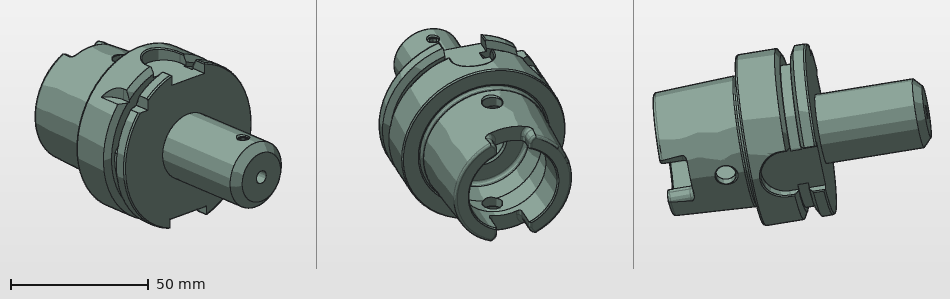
import cadquery as cq
import math


TOTAL_LENGTH = 97.1
TAPER_LENGTH = 32.0
FLANGE_LENGTH = 26.0
SHANK_END = TOTAL_LENGTH - TAPER_LENGTH

TAPER_DIAMETER = 48.2
TAPER_SLOPE = 0.05
TAPER_END = -2.1
TAPER_FRONT_ROUND = 1.0
RELIEF_DIAMETER = 47.6
RELIEF_CHAMFER = 0.7
RELIEF_ROUND = 1.0
RELIEF_DEPTH = 0.3
RELIEF_RIM_DIAMETER = 50.7

BORE_DIAMETER = 34.0
BORE_CHAMFER = 0.5
BORE_LENGTH = 12.7
CAVITY_DIAMETER = 40.0
CLAMPING_CONE_ANGLE = 60.0
CAVITY_END = 25.7
CAVITY_END_ANGLE = 30.0
BORE_DEPTH = 33.0
BORE_FLOOR_DIAMETER = 31.4
TUBE_HOLE_DIAMETER = 16.9
TUBE_HOLE_CHAMFER = 0.8
TUBE_HOLE_DEPTH = 11.6
COOLANT_DIAMETER = 4.9
COOLANT_CONE_DIAMETER = 8.4
COOLANT_CONE_LENGTH = 1.1

DRIVE_HALF_WIDTH = 6.2
DRIVE_FLARE_START = 18.0
DRIVE_FLARE_RADIUS = 3.0
DRIVE_FLOOR_ROUND = 1.5
DRIVE_DEPTH_TOP = 5.9
DRIVE_DEPTH_BOTTOM = 9.9

RADIAL_HOLE_DIAMETER = 7.5
RADIAL_HOLE_RIM_DIAMETER = 8.4
RADIAL_HOLE_X = -9.1

FLANGE_DIAMETER = 63.0
FLANGE_CHAMFER_LENGTH = 0.7
FLANGE_CHAMFER_DEPTH = 0.4
GROOVE_CENTRE_X = 18.1
GROOVE_TOP_WIDTH = 6.9
GROOVE_WIDTH = 3.9
GROOVE_FLANK_DEPTH = 2.6
GROOVE_DIAMETER = 54.65
GROOVE_FLAT_DISTANCE = 21.6
GROOVE_FLAT_ANGLE = 137.8

KEYWAY_CENTRE_X = 12.9
KEYWAY_TOP_WIDTH = 16.0
KEYWAY_BOTTOM_WIDTH = 18.0
KEYWAY_FLOOR = 26.4
KEYWAY_CHAMFER = 0.5
CORNER_POCKET_OFFSET = 20.0

SHANK_DIAMETER = 25.4
SHANK_CHAMFER_LENGTH = 3.0
SHANK_END_DIAMETER = 19.0

SCREW_DIAMETER = 4.0
SCREW_X = 55.2
SCREW_RECESS = 0.8
SCREW_LENGTH = 5.8
SCREW_SINK_DIAMETER = 5.1
SOCKET_ACROSS_FLATS = 2.5
SOCKET_DEPTH = 1.9
SOCKET_TURN = 45.0

CLEARANCE = 4.9
TOLERANCE = 0.1

TAPER_RADIUS = TAPER_DIAMETER / 2
FLANGE_RADIUS = FLANGE_DIAMETER / 2
SHANK_RADIUS = SHANK_DIAMETER / 2
BORE_RADIUS = BORE_DIAMETER / 2
SCREW_TOP = SHANK_RADIUS - SCREW_RECESS
SCREW_BOTTOM = SCREW_TOP - SCREW_LENGTH


def taper_radius(x):
    return TAPER_RADIUS - TAPER_SLOPE * (TAPER_END - x)


def ring(outline):
    """Solid of revolution about X from a closed (x, radius) outline."""
    return cq.Workplane("XY").polyline(outline).close().revolve(360, (0, 0, 0), (1, 0, 0))


def upright_ring(outline, x):
    """Solid of revolution about the vertical line at x from a closed (radius, z) outline."""
    turned = cq.Workplane("YZ").polyline(outline).close().revolve(360, (0, 0, 0), (0, 1, 0))
    return turned.translate((x, 0, 0))


def blank():
    """Taper, plain flange and shank without holes."""
    round_end_x = TAPER_FRONT_ROUND - TAPER_LENGTH
    round_shift = TAPER_FRONT_ROUND * math.sqrt(0.5)
    front_radius = taper_radius(round_end_x)
    relief_radius = RELIEF_DIAMETER / 2
    arc_start = RELIEF_DEPTH - RELIEF_ROUND
    arc_end_radius = relief_radius + RELIEF_ROUND
    arc_shift = RELIEF_ROUND * math.sqrt(0.5)
    return (
        cq.Workplane("XY")
        .moveTo(-TAPER_LENGTH, 0)
        .lineTo(-TAPER_LENGTH, front_radius - TAPER_FRONT_ROUND)
        .threePointArc(
            (round_end_x - round_shift, front_radius - TAPER_FRONT_ROUND + round_shift),
            (round_end_x, front_radius),
        )
        .lineTo(TAPER_END, TAPER_RADIUS)
        .lineTo(TAPER_END + RELIEF_CHAMFER, relief_radius)
        .lineTo(arc_start, relief_radius)
        .threePointArc(
            (arc_start + arc_shift, arc_end_radius - arc_shift),
            (RELIEF_DEPTH, arc_end_radius),
        )
        .lineTo(0, RELIEF_RIM_DIAMETER / 2)
        .lineTo(0, FLANGE_RADIUS)
        .lineTo(FLANGE_LENGTH, FLANGE_RADIUS)
        .lineTo(FLANGE_LENGTH, SHANK_RADIUS)
        .lineTo(SHANK_END - SHANK_CHAMFER_LENGTH, SHANK_RADIUS)
        .lineTo(SHANK_END, SHANK_END_DIAMETER / 2)
        .lineTo(SHANK_END, 0)
        .close()
        .revolve(360, (0, 0, 0), (1, 0, 0))
    )


def inner_bore():
    """Bore with a wider clamping cavity behind its mouth and a rounded floor corner."""
    front = -TAPER_LENGTH
    cavity_radius = CAVITY_DIAMETER / 2
    undercut = cavity_radius - BORE_RADIUS
    cone_start = front + BORE_LENGTH
    cone_end = cone_start + undercut / math.tan(math.radians(CLAMPING_CONE_ANGLE))
    cavity_end = front + CAVITY_END
    narrow_end = cavity_end + undercut / math.tan(math.radians(CAVITY_END_ANGLE))
    floor_x = front + BORE_DEPTH
    floor_radius = BORE_FLOOR_DIAMETER / 2
    corner = BORE_RADIUS - floor_radius
    corner_shift = corner * math.sqrt(0.5)
    return (
        cq.Workplane("XY")
        .moveTo(front - CLEARANCE, 0)
        .lineTo(front - CLEARANCE, BORE_RADIUS)
        .lineTo(cone_start, BORE_RADIUS)
        .lineTo(cone_end, cavity_radius)
        .lineTo(cavity_end, cavity_radius)
        .lineTo(narrow_end, BORE_RADIUS)
        .lineTo(floor_x - corner, BORE_RADIUS)
        .threePointArc(
            (floor_x - corner + corner_shift, floor_radius + corner_shift),
            (floor_x, floor_radius),
        )
        .lineTo(floor_x, 0)
        .close()
        .revolve(360, (0, 0, 0), (1, 0, 0))
    )


def bore_chamfer():
    front = -TAPER_LENGTH
    return ring([
        (front, 0),
        (front, BORE_RADIUS + BORE_CHAMFER),
        (front + BORE_CHAMFER, BORE_RADIUS),
        (front + BORE_CHAMFER, 0),
    ])


def axial_holes():
    """Coolant tube hole in the cavity floor and the coolant hole through the shank."""
    start = BORE_DEPTH - TAPER_LENGTH
    tube_radius = TUBE_HOLE_DIAMETER / 2
    tube_end = start + TUBE_HOLE_DEPTH
    cone_radius = COOLANT_CONE_DIAMETER / 2
    coolant_radius = COOLANT_DIAMETER / 2
    return ring([
        (start, 0),
        (start, tube_radius + TUBE_HOLE_CHAMFER),
        (start + TUBE_HOLE_CHAMFER, tube_radius),
        (tube_end, tube_radius),
        (tube_end, cone_radius),
        (tube_end + COOLANT_CONE_LENGTH, coolant_radius),
        (SHANK_END + CLEARANCE, coolant_radius),
        (SHANK_END + CLEARANCE, 0),
    ])


def drive_slot(depth):
    """Cutter for the upper drive slot: flared walls, a rounded floor and a rounded mouth."""
    flare_shift = DRIVE_FLARE_RADIUS * (1 - math.sqrt(0.5))
    flare_middle_z = DRIVE_FLARE_START + DRIVE_FLARE_RADIUS * math.sqrt(0.5)
    flare_end_y = DRIVE_HALF_WIDTH + DRIVE_FLARE_RADIUS
    flare_end_z = DRIVE_FLARE_START + DRIVE_FLARE_RADIUS
    outer_y = flare_end_y + CLEARANCE
    outer_z = TAPER_RADIUS + CLEARANCE
    inner_z = BORE_RADIUS - CLEARANCE
    front = -TAPER_LENGTH
    channel = (
        cq.Workplane("YZ", origin=(front, 0, 0))
        .moveTo(0, inner_z)
        .lineTo(DRIVE_HALF_WIDTH, inner_z)
        .lineTo(DRIVE_HALF_WIDTH, DRIVE_FLARE_START)
        .threePointArc((DRIVE_HALF_WIDTH + flare_shift, flare_middle_z), (flare_end_y, flare_end_z))
        .lineTo(outer_y, flare_end_z)
        .lineTo(outer_y, outer_z)
        .lineTo(0, outer_z)
        .mirrorY()
        .extrude(depth)
    )
    plate = (
        cq.Workplane("YZ", origin=(front, 0, (inner_z + outer_z) / 2))
        .rect(2 * (outer_y + CLEARANCE), outer_z - inner_z)
        .extrude(-CLEARANCE)
    )
    cutter = channel.union(plate)

    def wall_edges(x):
        low_corner = (x - TOLERANCE, TOLERANCE - outer_y, inner_z + TOLERANCE)
        high_corner = (x + TOLERANCE, outer_y - TOLERANCE, outer_z - TOLERANCE)
        return cq.selectors.BoxSelector(low_corner, high_corner)

    cutter = cutter.edges(wall_edges(front + depth)).fillet(DRIVE_FLOOR_ROUND)
    return cutter.edges(wall_edges(front)).fillet(TAPER_FRONT_ROUND)


def radial_hole():
    """Hole through both taper walls, with a countersink at each mouth."""
    radius = RADIAL_HOLE_DIAMETER / 2
    rim = RADIAL_HOLE_RIM_DIAMETER / 2
    surface = taper_radius(RADIAL_HOLE_X)
    top = surface + CLEARANCE
    cone_bottom = surface - (rim - radius)
    return upright_ring([
        (0, -top),
        (rim + CLEARANCE, -top),
        (radius, -cone_bottom),
        (radius, cone_bottom),
        (rim + CLEARANCE, top),
        (0, top),
    ], RADIAL_HOLE_X)


def keyway(width, centre_y, floor_z, side):
    """Round-ended slot open towards the shank, above (side 1) or below (side -1) its floor."""
    height = FLANGE_RADIUS - floor_z + CLEARANCE
    length = FLANGE_LENGTH - KEYWAY_CENTRE_X + CLEARANCE
    plan = cq.Workplane("XY", origin=(KEYWAY_CENTRE_X, centre_y, side * floor_z))
    straight = plan.rect(length, width, centered=(False, True)).extrude(side * height)
    return straight.union(plan.circle(width / 2).extrude(side * height))


def flange_turning():
    """V groove around the rim and the chamfers at both ends of the flange."""
    outer = FLANGE_RADIUS + CLEARANCE
    flank_radius = FLANGE_RADIUS - GROOVE_FLANK_DEPTH
    floor_radius = GROOVE_DIAMETER / 2
    left_top = GROOVE_CENTRE_X - GROOVE_TOP_WIDTH / 2
    right_top = GROOVE_CENTRE_X + GROOVE_TOP_WIDTH / 2
    left = GROOVE_CENTRE_X - GROOVE_WIDTH / 2
    right = GROOVE_CENTRE_X + GROOVE_WIDTH / 2
    groove = ring([
        (left_top, outer),
        (left_top, FLANGE_RADIUS),
        (left, flank_radius),
        (left, floor_radius),
        (right, floor_radius),
        (right, flank_radius),
        (right_top, FLANGE_RADIUS),
        (right_top, outer),
    ])
    chamfer_radius = FLANGE_RADIUS - FLANGE_CHAMFER_DEPTH
    front = ring([
        (0, chamfer_radius),
        (FLANGE_CHAMFER_LENGTH, FLANGE_RADIUS),
        (0, FLANGE_RADIUS),
    ])
    back = ring([
        (FLANGE_LENGTH, chamfer_radius),
        (FLANGE_LENGTH - FLANGE_CHAMFER_LENGTH, FLANGE_RADIUS),
        (FLANGE_LENGTH, FLANGE_RADIUS),
    ])
    return groove.union(front).union(back)


def groove_flat():
    """Cutter that mills a flat into the groove floor, as wide as the floor."""
    height = FLANGE_RADIUS - GROOVE_FLAT_DISTANCE + CLEARANCE
    block = cq.Workplane("XY").box(GROOVE_WIDTH, FLANGE_DIAMETER, height, centered=(True, True, False))
    placed = block.translate((GROOVE_CENTRE_X, 0, GROOVE_FLAT_DISTANCE))
    return placed.rotate((0, 0, 0), (1, 0, 0), GROOVE_FLAT_ANGLE - 90)


def screw_hole():
    radius = SCREW_DIAMETER / 2
    sink = SCREW_SINK_DIAMETER / 2
    return upright_ring([
        (0, SCREW_BOTTOM),
        (radius, SCREW_BOTTOM),
        (radius, SHANK_RADIUS - (sink - radius)),
        (sink + CLEARANCE, SHANK_RADIUS + CLEARANCE),
        (0, SHANK_RADIUS + CLEARANCE),
    ], SCREW_X)


def keyway_rim_edges(body):
    """Edges between the two flange ends where the slot walls meet the outside of the flange."""
    found = []
    for edge in body.edges().vals():
        middle = edge.positionAt(0.5)
        on_rim = abs(math.hypot(middle.y, middle.z) - FLANGE_RADIUS) < TOLERANCE
        between_ends = TOLERANCE < middle.x < FLANGE_LENGTH - TOLERANCE
        on_slot = abs(middle.y) < KEYWAY_BOTTOM_WIDTH
        if on_rim and between_ends and on_slot:
            found.append(edge)
    return found


def make_holder():
    body = blank()

    body = body.cut(keyway(KEYWAY_TOP_WIDTH, 0, KEYWAY_FLOOR, 1))
    body = body.cut(keyway(KEYWAY_BOTTOM_WIDTH, 0, KEYWAY_FLOOR, -1))
    body = body.newObject(keyway_rim_edges(body)).chamfer(KEYWAY_CHAMFER)

    corner_y = -CORNER_POCKET_OFFSET - KEYWAY_TOP_WIDTH / 2
    body = body.cut(keyway(KEYWAY_TOP_WIDTH, corner_y, CORNER_POCKET_OFFSET, 1))
    body = body.cut(flange_turning())
    body = body.cut(groove_flat())

    body = body.cut(inner_bore())
    body = body.cut(drive_slot(DRIVE_DEPTH_TOP))
    body = body.cut(drive_slot(DRIVE_DEPTH_BOTTOM).rotate((0, 0, 0), (1, 0, 0), 180))
    body = body.cut(bore_chamfer())

    return body.cut(radial_hole()).cut(axial_holes()).cut(screw_hole())


def make_set_screw():
    """Headless screw with a hexagon socket in its top."""
    top = cq.Workplane("XY", origin=(SCREW_X, 0, SCREW_TOP))
    socket_corners = SOCKET_ACROSS_FLATS / math.cos(math.pi / 6)
    socket = top.transformed(rotate=(0, 0, SOCKET_TURN)).polygon(6, socket_corners).extrude(-SOCKET_DEPTH)
    return top.circle(SCREW_DIAMETER / 2).extrude(-SCREW_LENGTH).cut(socket)


holder = make_holder()
set_screw = make_set_screw()

result = cq.Compound.makeCompound([holder.solids().val(), set_screw.solids().val()])